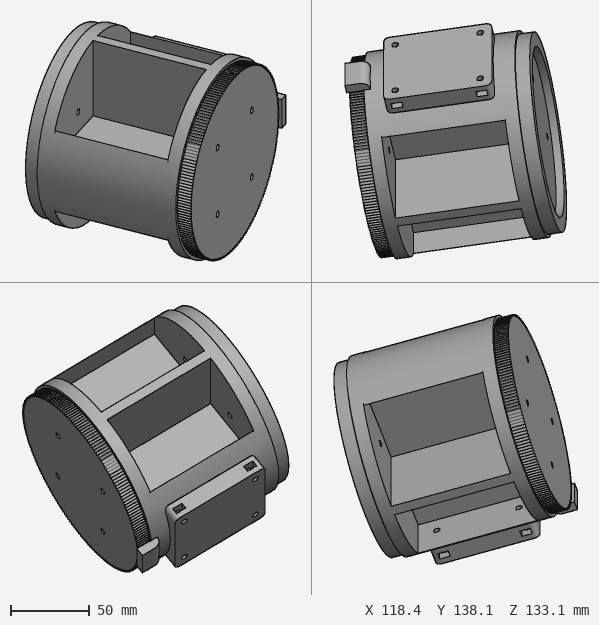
import cadquery as cq
import math

BODY_DIAMETER = 133.09
BODY_LENGTH = 98.0
COLLAR_DIAMETER = 129.0
PLAIN_COLLAR_LENGTH = 9.25
KNURLED_COLLAR_LENGTH = 9.55
RECESS_DIAMETER = 110.0
RECESS_DEPTH = 5.2

TOOTH_COUNT = 200
TOOTH_DEPTH = 1.0

COMPARTMENT_LENGTH = 80.0
DIVIDER_THICKNESS = 6.8
FLOOR_HEIGHT = 10.0
FRONT_WALL_Y = -59.3
BACK_WALL_Y = 51.3

END_HOLE_DIAMETER = 4.0
END_HOLE_SPACING = 50.0

PAD_LENGTH = 70.0
PAD_HEIGHT = 60.0
PAD_THICKNESS = 12.0
PAD_CORNER_RADIUS = 4.0
PAD_OUTER_Y = 71.6
SCREW_DIAMETER = 4.2
SCREW_SPACING_X = 55.0
SCREW_SPACING_Z = 44.0
NUT_WIDTH = 7.0
NUT_SLOT_THICKNESS = 4.2

TAB_LENGTH = 15.6
TAB_WIDTH = 21.6
TAB_THICKNESS = 6.2
TAB_OVERHANG = 1.6
TAB_NOSE_RADIUS = 6.0

BODY_RADIUS = BODY_DIAMETER / 2
BODY_END_X = BODY_LENGTH / 2
PLAIN_END_X = -BODY_END_X - PLAIN_COLLAR_LENGTH
KNURLED_END_X = BODY_END_X + KNURLED_COLLAR_LENGTH


def box_between(x_range, y_range, z_range):
    """Axis-aligned box spanning three (low, high) ranges."""
    sizes = [high - low for low, high in (x_range, y_range, z_range)]
    corner = (x_range[0], y_range[0], z_range[0])
    return cq.Workplane("XY").box(*sizes, centered=False).translate(corner)


def disc(diameter, start_x, length):
    """Cylinder along +X from start_x."""
    return cq.Workplane("YZ", origin=(start_x, 0, 0)).circle(diameter / 2).extrude(length)


def knurled_collar():
    """Collar with a wavy rim of alternating round ridges and round grooves parallel to the axis."""
    crest_radius = COLLAR_DIAMETER / 2
    valley_radius = crest_radius - TOOTH_DEPTH
    mean_radius = crest_radius - TOOTH_DEPTH / 2
    quarter_step = math.pi / (2 * TOOTH_COUNT)

    def rim_point(radius, step):
        angle = quarter_step * step
        return (radius * math.cos(angle), radius * math.sin(angle))

    outline = cq.Workplane("YZ", origin=(BODY_END_X, 0, 0)).moveTo(*rim_point(mean_radius, 0))
    for tooth in range(TOOTH_COUNT):
        start = 4 * tooth
        outline = outline.threePointArc(rim_point(crest_radius, start + 1), rim_point(mean_radius, start + 2))
        outline = outline.threePointArc(rim_point(valley_radius, start + 3), rim_point(mean_radius, start + 4))
    return outline.close().extrude(KNURLED_COLLAR_LENGTH)


def drum():
    """Main body with a plain recessed collar at -X and a knurled collar at +X."""
    body = disc(BODY_DIAMETER, -BODY_END_X, BODY_LENGTH)
    plain_collar = disc(COLLAR_DIAMETER, PLAIN_END_X, PLAIN_COLLAR_LENGTH)
    recess = disc(RECESS_DIAMETER, PLAIN_END_X, RECESS_DEPTH)
    return body.union(plain_collar).union(knurled_collar()).cut(recess)


def mounting_pad():
    """Rounded rectangular pad, its inner side sunk into the drum along the middle."""
    pad = box_between(
        (-PAD_LENGTH / 2, PAD_LENGTH / 2),
        (PAD_OUTER_Y - PAD_THICKNESS, PAD_OUTER_Y),
        (-PAD_HEIGHT / 2, PAD_HEIGHT / 2),
    )
    return pad.edges("|Y").fillet(PAD_CORNER_RADIUS)


def pointer_tab():
    """Tab on the +Y side with a rounded outer nose towards -X."""
    end_x = KNURLED_END_X + TAB_OVERHANG
    tab = box_between(
        (end_x - TAB_LENGTH, end_x),
        (PAD_OUTER_Y - TAB_THICKNESS, PAD_OUTER_Y),
        (-TAB_WIDTH / 2, TAB_WIDTH / 2),
    )
    return tab.edges("<X and >Y").fillet(TAB_NOSE_RADIUS)


def compartments():
    """Box pockets open at the top and bottom, on both sides of the divider."""
    x_range = (-COMPARTMENT_LENGTH / 2, COMPARTMENT_LENGTH / 2)
    half_divider = DIVIDER_THICKNESS / 2
    pockets = cq.Workplane("XY")
    for y_range in ((FRONT_WALL_Y, -half_divider), (half_divider, BACK_WALL_Y)):
        upper = box_between(x_range, y_range, (FLOOR_HEIGHT, BODY_RADIUS))
        pockets = pockets.add(upper).add(upper.mirror("XY"))
    return pockets.combine()


def end_holes():
    """Square pattern of holes running the full length of the drum."""
    plane = cq.Workplane("YZ", origin=(PLAIN_END_X, 0, 0))
    pattern = plane.rect(END_HOLE_SPACING, END_HOLE_SPACING, forConstruction=True).vertices()
    return pattern.circle(END_HOLE_DIAMETER / 2).extrude(KNURLED_END_X - PLAIN_END_X)


def pad_fasteners():
    """Screw holes through the pad and back wall, each crossed by a nut slot from the pad's edge."""
    cutters = cq.Workplane("XY")
    half_nut = NUT_WIDTH / 2
    half_slot = NUT_SLOT_THICKNESS / 2
    slot_y = PAD_OUTER_Y - PAD_THICKNESS / 2
    screw_z = SCREW_SPACING_Z / 2
    for x in (-SCREW_SPACING_X / 2, SCREW_SPACING_X / 2):
        screw = (
            cq.Workplane("XZ", origin=(x, PAD_OUTER_Y, screw_z))
            .circle(SCREW_DIAMETER / 2)
            .extrude(PAD_OUTER_Y - BACK_WALL_Y)
        )
        slot = box_between(
            (x - half_nut, x + half_nut),
            (slot_y - half_slot, slot_y + half_slot),
            (screw_z - half_nut, PAD_HEIGHT / 2),
        )
        upper = screw.union(slot)
        cutters = cutters.add(upper).add(upper.mirror("XY"))
    return cutters.combine()


result = (
    drum()
    .union(mounting_pad())
    .union(pointer_tab())
    .cut(compartments())
    .cut(end_holes())
    .cut(pad_fasteners())
)